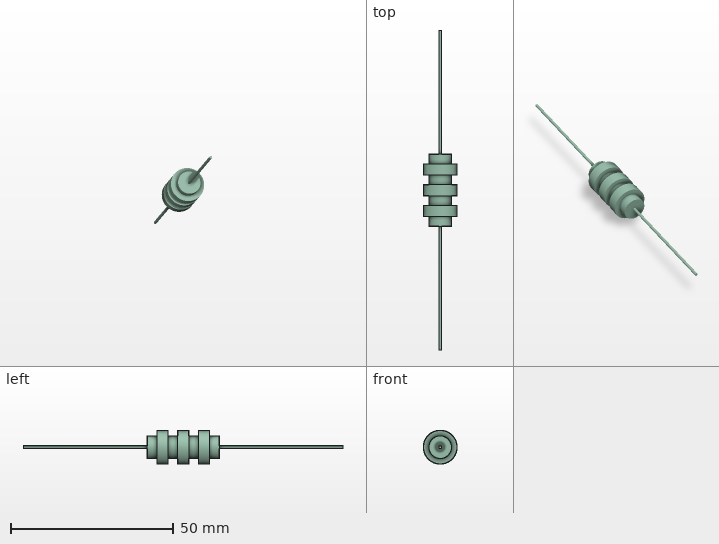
import cadquery as cq

lead_length = 98.4
lead_diameter = 0.9
core_length = 22.2
core_diameter = 7.0
ring_diameter = 10.4
ring_width = 3.4
ring_pitch = 6.4
ring_count = 3


def cylinder_along_y(diameter, length, center_y=0.0):
    """Solid cylinder on the Y axis, centred at center_y."""
    start = center_y - length / 2
    return (
        cq.Workplane("XZ", origin=(0, start, 0))
        .circle(diameter / 2)
        .extrude(-length)
    )


lead = cylinder_along_y(lead_diameter, lead_length)
core = cylinder_along_y(core_diameter, core_length)
result = lead.union(core)

for index in range(ring_count):
    ring_y = (index - (ring_count - 1) / 2) * ring_pitch
    result = result.union(cylinder_along_y(ring_diameter, ring_width, ring_y))